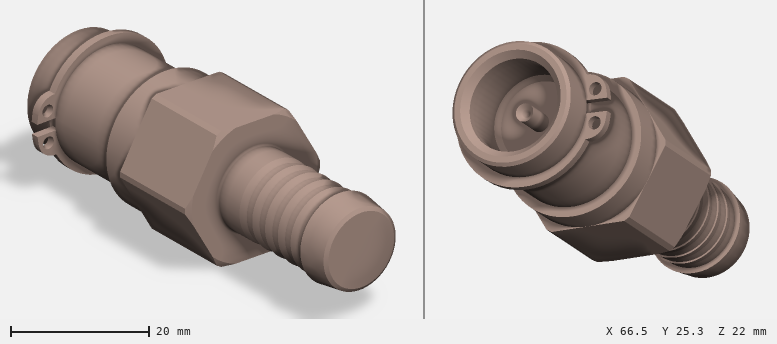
import cadquery as cq
import math

LENGTH = 66.5
RING_START = 5.65
RING_THICKNESS = 1.3
COLLAR_START = 20.8
HEX_START = 25.9
HEX_END = 41.55
GROOVE_START = 46.55
GROOVE_PITCH = 3.0
GROOVE_COUNT = 5
GROOVE_TAPER = 1.4

BODY_RADIUS = 19.0 / 2
BODY_CHAMFER_LENGTH = 0.4
BODY_FACE_RADIUS = 18.0 / 2
COLLAR_RADIUS = 22.0 / 2

ACROSS_FLATS = 2 * COLLAR_RADIUS
ACROSS_CORNER_FLATS = 24.9
HEX_FACE_RADIUS = 11.6
HEX_CHAMFER_ANGLE = 30.0

NECK_RADIUS = 13.5 / 2
GROOVE_RADIUS = 13.0 / 2
NECK_FILLET = 0.3
HEAD_RADIUS = 7.3
TIP_RADIUS = 13.3 / 2
TIP_FACE_RADIUS = 6.05
TIP_BEVEL_LENGTH = 0.4

MOUTH_RADIUS = 16.15 / 2
SOCKET_RADIUS = 14.1 / 2
FLOOR_RADIUS = 12.6 / 2
FLOOR_DEPTH = 10.0
PIN_RADIUS = 2.8 / 2
PIN_START = 4.7
PIN_CONE_DEPTH = 1.4

RING_RADIUS = COLLAR_RADIUS
RING_OFFSET = 0.4
RING_GROOVE_RADIUS = 18.0 / 2
RING_TURN = 1.4
LUG_OUTER_RADIUS = 12.85
LUG_CORNER_RADIUS = 3.0
LUG_CORNER_ANGLE = 11.3
LUG_HOLE_DIAMETER = 2.0
LUG_HOLE_Y = -10.85
LUG_HOLE_Z = 2.6
RING_GAP = 2.0


def revolve_profile(points):
    """Revolve (x, radius) points about the X axis."""
    return cq.Workplane("XY").polyline(points).close().revolve(360, (0, 0, 0), (1, 0, 0))


def prism_plane(x):
    """Plane across the axis at x; its local axes are Y and Z."""
    return cq.Workplane("YZ", origin=(x, 0, 0))


def make_body():
    """Stepped shaft with a collar and the groove that seats the retaining ring."""
    return revolve_profile([
        (0, 0),
        (0, BODY_FACE_RADIUS),
        (BODY_CHAMFER_LENGTH, BODY_RADIUS),
        (RING_START, BODY_RADIUS),
        (RING_START, RING_GROOVE_RADIUS),
        (RING_START + RING_THICKNESS, RING_GROOVE_RADIUS),
        (RING_START + RING_THICKNESS, BODY_RADIUS),
        (COLLAR_START, BODY_RADIUS),
        (COLLAR_START, COLLAR_RADIUS),
        (HEX_START, COLLAR_RADIUS),
        (HEX_START, 0),
    ])


def make_hexagon():
    length = HEX_END - HEX_START
    corner_diameter = ACROSS_FLATS / math.cos(math.radians(30))
    hexagon = prism_plane(HEX_START).polygon(6, corner_diameter).extrude(length)

    trim_diameter = ACROSS_CORNER_FLATS / math.cos(math.radians(30))
    trim = prism_plane(HEX_START).polygon(6, trim_diameter).extrude(length)
    hexagon = hexagon.intersect(trim.rotate((0, 0, 0), (1, 0, 0), 30))

    outer_radius = corner_diameter / 2
    slope = math.tan(math.radians(HEX_CHAMFER_ANGLE))
    chamfer_length = (outer_radius - HEX_FACE_RADIUS) * slope
    chamfer_envelope = revolve_profile([
        (HEX_START, 0),
        (HEX_START, outer_radius),
        (HEX_END - chamfer_length, outer_radius),
        (HEX_END, HEX_FACE_RADIUS),
        (HEX_END, 0),
    ])
    return hexagon.intersect(chamfer_envelope)


def make_barb():
    profile = (
        cq.Workplane("XY")
        .moveTo(HEX_START, 0)
        .lineTo(HEX_START, NECK_RADIUS)
        .lineTo(HEX_END, NECK_RADIUS)
        .lineTo(HEX_END, NECK_RADIUS + NECK_FILLET)
        .radiusArc((HEX_END + NECK_FILLET, NECK_RADIUS), -NECK_FILLET)
        .lineTo(GROOVE_START, NECK_RADIUS)
    )
    for index in range(GROOVE_COUNT):
        start = GROOVE_START + index * GROOVE_PITCH
        end_radius = HEAD_RADIUS if index == GROOVE_COUNT - 1 else NECK_RADIUS
        profile = (
            profile.lineTo(start + GROOVE_TAPER, GROOVE_RADIUS)
            .lineTo(start + GROOVE_PITCH, GROOVE_RADIUS)
            .lineTo(start + GROOVE_PITCH, end_radius)
        )
    profile = (
        profile.lineTo(LENGTH - TIP_BEVEL_LENGTH, TIP_RADIUS)
        .lineTo(LENGTH, TIP_FACE_RADIUS)
        .lineTo(LENGTH, 0)
        .close()
    )
    return profile.revolve(360, (0, 0, 0), (1, 0, 0))


def make_socket():
    """Bore with 45 degree bevels at its mouth and around its floor."""
    return revolve_profile([
        (0, 0),
        (0, MOUTH_RADIUS),
        (MOUTH_RADIUS - SOCKET_RADIUS, SOCKET_RADIUS),
        (FLOOR_DEPTH - (SOCKET_RADIUS - FLOOR_RADIUS), SOCKET_RADIUS),
        (FLOOR_DEPTH, FLOOR_RADIUS),
        (FLOOR_DEPTH, 0),
    ])


def make_pin():
    """Pin standing on the socket floor, with a conical recess in its end."""
    return revolve_profile([
        (PIN_START + PIN_CONE_DEPTH, 0),
        (PIN_START, PIN_RADIUS),
        (HEX_START, PIN_RADIUS),
        (HEX_START, 0),
    ])


def make_lugs():
    """Both lugs as one plate: an arc around the axis with rounded corners."""
    angle = math.radians(LUG_CORNER_ANGLE)
    corner_center_radius = LUG_OUTER_RADIUS - LUG_CORNER_RADIUS
    corner_y = -corner_center_radius * math.cos(angle)
    corner_z = corner_center_radius * math.sin(angle)
    tangent_y = -LUG_OUTER_RADIUS * math.cos(angle)
    tangent_z = LUG_OUTER_RADIUS * math.sin(angle)
    top_z = corner_z + LUG_CORNER_RADIUS
    diagonal = LUG_CORNER_RADIUS * math.sqrt(0.5)
    return (
        prism_plane(RING_START)
        .moveTo(corner_y, -top_z)
        .threePointArc((corner_y - diagonal, -corner_z - diagonal), (tangent_y, -tangent_z))
        .threePointArc((-LUG_OUTER_RADIUS, 0), (tangent_y, tangent_z))
        .threePointArc((corner_y - diagonal, corner_z + diagonal), (corner_y, top_z))
        .lineTo(0, top_z)
        .lineTo(0, -top_z)
        .close()
        .extrude(RING_THICKNESS)
    )


def make_retaining_ring():
    """Eccentric split ring with two drilled lugs on the -Y side, turned slightly about X."""
    plane = prism_plane(RING_START)
    ring = plane.center(RING_OFFSET, 0).circle(RING_RADIUS).extrude(RING_THICKNESS)
    hole_centers = [(LUG_HOLE_Y, -LUG_HOLE_Z), (LUG_HOLE_Y, LUG_HOLE_Z)]
    holes = plane.pushPoints(hole_centers).circle(LUG_HOLE_DIAMETER / 2).extrude(RING_THICKNESS)
    gap = plane.center(-RING_RADIUS, 0).rect(2 * RING_RADIUS, RING_GAP).extrude(RING_THICKNESS)
    ring = ring.union(make_lugs()).cut(holes).cut(gap)
    return ring.rotate((0, 0, 0), (1, 0, 0), RING_TURN)


outside = make_body().union(make_hexagon()).union(make_barb()).union(make_retaining_ring())
result = outside.cut(make_socket()).union(make_pin())